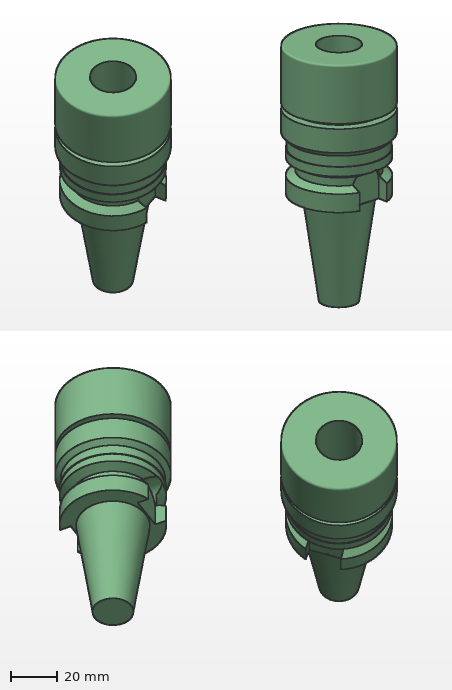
import cadquery as cq

total_height = 118.4
gauge_z = 48.4
flange_bottom_z = 49.5
flange_top_z = 58.0
groove_bottom_z = 60.1
groove_top_z = 63.9
collar_bottom_z = 66.2
collar_top_z = 70.6
body_chamfer_bottom_z = 75.5
body_chamfer_top_z = 77.9
neck_bottom_z = 88.9
neck_top_z = 91.4

body_radius = 25.0
neck_radius = 20.2
shoulder_radius = 22.6
flange_radius = 23.0
groove_radius = 18.8
gauge_radius = 15.9
taper_slope = 7 / 48
taper_end_radius = gauge_radius - gauge_z * taper_slope
top_edge_radius = 1.0

bore_radius = 10.0
bore_depth = 50.0

slot_width = 16.0
slot_top_z = 66.5
slot_floor_x = 16.3


def make_turned_body():
    """Taper, gripper flange and chuck body revolved about Z."""
    profile = [
        (0, 0),
        (taper_end_radius, 0),
        (gauge_radius, gauge_z),
        (gauge_radius, flange_bottom_z),
        (flange_radius, flange_bottom_z),
        (flange_radius, flange_top_z),
        (groove_radius, groove_bottom_z),
        (groove_radius, groove_top_z),
        (flange_radius, collar_bottom_z),
        (flange_radius, collar_top_z),
        (shoulder_radius, collar_top_z),
        (shoulder_radius, body_chamfer_bottom_z),
        (body_radius, body_chamfer_top_z),
        (body_radius, neck_bottom_z),
        (neck_radius, neck_bottom_z),
        (neck_radius, neck_top_z),
        (body_radius, neck_top_z),
        (body_radius, total_height),
        (0, total_height),
    ]
    turned = cq.Workplane("XZ").polyline(profile).close().revolve(360, (0, 0), (0, 1))
    return turned.faces(">Z").edges().fillet(top_edge_radius)


def make_bore():
    """Blind tool bore entering from the top face."""
    bore_floor = cq.Workplane("XY").workplane(offset=total_height - bore_depth)
    return bore_floor.circle(bore_radius).extrude(bore_depth)


def make_drive_slot(side):
    """Round-topped slot with a flat floor; side is +1 for +X and -1 for -X."""
    half_width = slot_width / 2
    arch_start_z = slot_top_z - half_width
    outline = (
        cq.Workplane("YZ", origin=(side * slot_floor_x, 0, 0))
        .moveTo(-half_width, flange_bottom_z)
        .lineTo(half_width, flange_bottom_z)
        .lineTo(half_width, arch_start_z)
        .threePointArc((0, slot_top_z), (-half_width, arch_start_z))
        .close()
    )
    return outline.extrude(side * (body_radius - slot_floor_x))


result = make_turned_body().cut(make_bore())
for slot_side in (-1, 1):
    result = result.cut(make_drive_slot(slot_side))